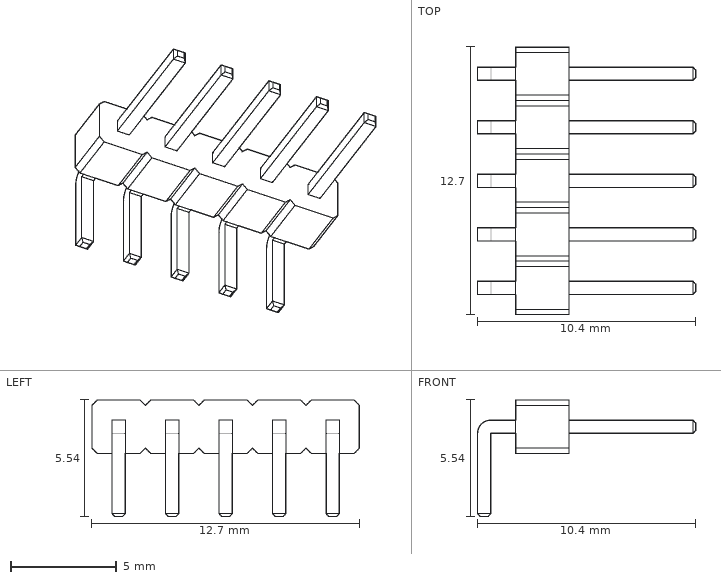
import cadquery as cq

pin_count = 5
pitch = 2.54
block_size = 2.54
block_bevel = 0.25

pin_width = 0.64
bend_radius = 0.64
tip_bevel = 0.14
pin_reach = 10.36
pin_drop = 4.27
block_offset = 1.82

leg_back = -block_size / 2 - block_offset
tip_end = leg_back + pin_reach
half_pin = pin_width / 2


def make_block(y):
    """One housing segment, bevelled along its four X edges."""
    block = cq.Workplane("XY").box(block_size, pitch, block_size)
    return block.edges("|X").chamfer(block_bevel).translate((0, y, 0))


def make_pin(y):
    """One right-angle pin with a rounded outer bend, sharp inner corner and tapered tips."""
    pin = (
        cq.Workplane("XZ")
        .moveTo(leg_back, -pin_drop)
        .lineTo(leg_back, half_pin - bend_radius)
        .radiusArc((leg_back + bend_radius, half_pin), bend_radius)
        .lineTo(tip_end, half_pin)
        .lineTo(tip_end, -half_pin)
        .lineTo(leg_back + pin_width, -half_pin)
        .lineTo(leg_back + pin_width, -pin_drop)
        .close()
        .extrude(half_pin, both=True)
    )
    pin = pin.faces(">X").chamfer(tip_bevel)
    pin = pin.faces("<Z").chamfer(tip_bevel)
    return pin.translate((0, y, 0))


row_start = -(pin_count - 1) * pitch / 2
positions = [row_start + i * pitch for i in range(pin_count)]

result = make_block(positions[0])
for y in positions[1:]:
    result = result.union(make_block(y))
for y in positions:
    result = result.union(make_pin(y))